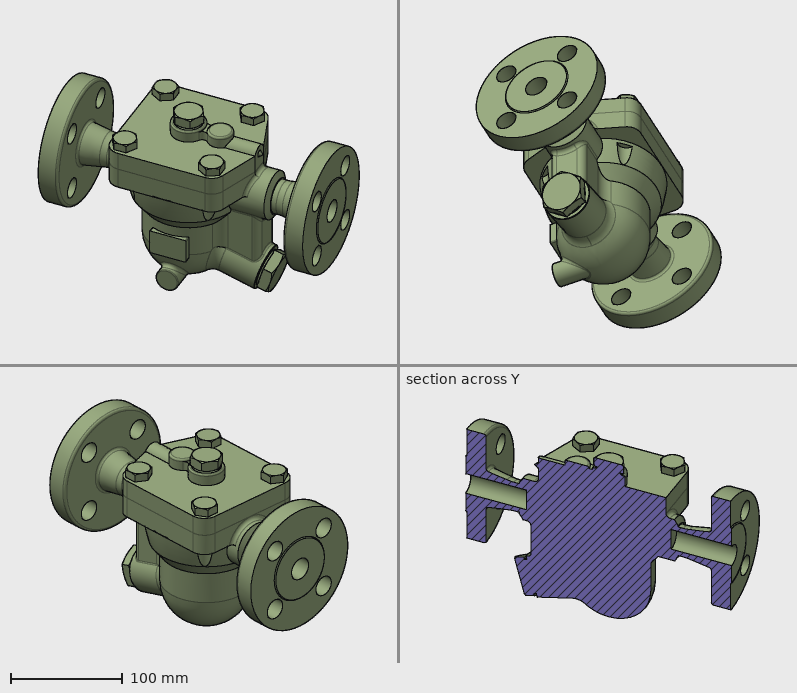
import cadquery as cq
import math


PICK_MARGIN = 0.2

FACE_TO_FACE = 264.0
FLANGE_DIA = 120.0
FLANGE_THICKNESS = 20.6
FLANGE_EDGE_FILLET = 2.5
RAISED_FACE_DIA = 60.0
RAISED_FACE_BASE_DIA = 62.0
RAISED_FACE_HEIGHT = 1.0
BOLT_CIRCLE_DIA = 85.0
FLANGE_HOLE_DIA = 19.0
FLANGE_HOLE_COUNT = 4
FIRST_HOLE_ANGLE = 45.0
BORE_DIA = 21.0
BORE_DEPTH = 60.0
NECK_DIA = 32.0
NECK_BEND_START = 84.0
NECK_TAPER_START = 90.5
NECK_TAPER_DIA = 33.4
HUB_DIA = 40.4
HUB_FILLET = 2.5
BOSS_DIA = 46.0
BOSS_END = 75.2
BOSS_CHAMFER = 3.7
BOSS_CHAMFER_END_DIA = 34.6
BOSS_ROOT_FILLET = 3.8

BODY_X = -10.0
BODY_RADIUS = 42.0
DOME_Z = -62.0
SHOULDER_BOTTOM_Z = -32.0
SHOULDER_TOP_Z = -19.0
SHOULDER_RADIUS = 52.0
RIM_RADIUS = 57.0
RIM_MID_RADIUS = 55.0
NUT_RELIEF_DIA = 17.4
NUT_RELIEF_TOP_Z = 3.3

PLATE_BOTTOM_Z = 7.0
JOINT_Z = 27.0
COVER_TOP_Z = 44.5
PLATE_LEFT_X = -67.0
PLATE_NOSE_X = 60.0
PLATE_NOSE_HALF_WIDTH = 9.0
PLATE_TAPER_X = 43.0
PLATE_HALF_WIDTH = 57.3
PLATE_CORNER_RADIUS = 14.0

HEX_BEVEL_ANGLE = 30.0

BOLT_X_LEFT = -53.0
BOLT_X_RIGHT = 33.0
BOLT_Y = 43.0
BOLT_ACROSS_FLATS = 21.0
BOLT_HEAD_HEIGHT = 8.0
BOLT_TURN = 30.0
PLUG_BOSS_DIA = 33.0
ROUND_BOSS_HEIGHT = 11.2
PLUG_BOSS_FILLET = 1.5
PLUG_COLLAR_HEIGHT = 1.5
PLUG_COLLAR_DIA = 22.0
PLUG_COLLAR_BASE_DIA = 27.0
PLUG_ACROSS_FLATS = 26.0
PLUG_HEAD_HEIGHT = 10.0

PASSAGE_BOSS_X = 21.5
PASSAGE_BOSS_DIA = 24.0
PASSAGE_BOSS_FILLET = 2.0
WEB_HEIGHT = 9.0
WEB_FILLET = 5.0
RIB_DIA = 20.0
RIB_TOP_Z = 50.0
RIB_SINK = 1.0
TIP_RADIUS = 3.2
TIP_LENGTH = 3.8
TIP_Z = 41.4

RISER_END_X = 67.5
RISER_HALF_WIDTH = 17.0
RISER_CORNER_FILLET = 7.0
ROOT_FILLET = 15.0
RISER_FOOT_FILLET = 2.0
RISER_HEAD_FILLET = 4.0
RISER_SINK = 10.0
STRAINER_TILT = 15.0
STRAINER_DIA = 44.0
STRAINER_LENGTH = 79.5
STRAINER_EDGE = 0.5
STRAINER_ROOT_SINK = 0.05
STRAINER_COLLAR_DIA = 36.0
STRAINER_COLLAR_LENGTH = 2.0
STRAINER_HEX_ACROSS_FLATS = 37.0
STRAINER_HEX_LENGTH = 10.5
STRAINER_HEX_TURN = -5.0
DRAIN_Z = -90.7
DRAIN_DIA = 22.0
DRAIN_END_Y = -46.0
DRAIN_EDGE_FILLET = 0.8
DRAIN_ROOT_FILLET = 3.0
PAD_WIDTH = 36.0
PAD_HEIGHT = 24.0
PAD_Z = -54.3
PAD_FACE_Y = -44.3
PAD_CORNER_RADIUS = 1.0


def edges_within(shape, low, high):
    """Edges lying wholly inside the box between two opposite corners."""
    return shape.edges(cq.selectors.BoxSelector(low, high, boundingbox=True))


def hex_head(across_flats, height, turn=0.0, bevel_underside=False):
    """Hexagon standing on XY with a corner on +X, its corners bevelled down to the flats."""
    flat_radius = across_flats / 2
    corner_radius = flat_radius / math.cos(math.pi / 6)
    bevel_rise = (corner_radius - flat_radius) * math.tan(math.radians(HEX_BEVEL_ANGLE))
    head = cq.Workplane("XY").polygon(6, 2 * corner_radius).extrude(height)
    envelope = cq.Workplane("XZ").moveTo(0, 0)
    if bevel_underside:
        envelope = envelope.lineTo(flat_radius, 0).lineTo(corner_radius, bevel_rise)
    else:
        envelope = envelope.lineTo(corner_radius, 0)
    envelope = (
        envelope.lineTo(corner_radius, height - bevel_rise)
        .lineTo(flat_radius, height)
        .lineTo(0, height)
        .close()
        .revolve(360, (0, 0, 0), (0, 1, 0))
    )
    return head.intersect(envelope).rotate((0, 0, 0), (0, 0, 1), turn)


def plate(bottom, top):
    outline = [
        (PLATE_LEFT_X, -PLATE_HALF_WIDTH),
        (PLATE_TAPER_X, -PLATE_HALF_WIDTH),
        (PLATE_NOSE_X, -PLATE_NOSE_HALF_WIDTH),
        (PLATE_NOSE_X, PLATE_NOSE_HALF_WIDTH),
        (PLATE_TAPER_X, PLATE_HALF_WIDTH),
        (PLATE_LEFT_X, PLATE_HALF_WIDTH),
    ]
    slab = cq.Workplane("XY").workplane(offset=bottom).polyline(outline).close().extrude(top - bottom)
    corners = slab.edges("|Z").edges("<Y or >Y or <X")
    return corners.fillet(PLATE_CORNER_RADIUS)


def bolt_places():
    return [(x, y) for x in (BOLT_X_LEFT, BOLT_X_RIGHT) for y in (-BOLT_Y, BOLT_Y)]


def vessel():
    """Rim, shoulder, cylinder and dome revolved about the vertical axis, relieved at the bolts."""
    rim_mid_z = (PLATE_BOTTOM_Z + SHOULDER_TOP_Z) / 2
    dome_45 = BODY_RADIUS * math.sqrt(0.5)
    profile = (
        cq.Workplane("XZ")
        .moveTo(0, PLATE_BOTTOM_Z)
        .lineTo(RIM_RADIUS, PLATE_BOTTOM_Z)
        .threePointArc((RIM_MID_RADIUS, rim_mid_z), (SHOULDER_RADIUS, SHOULDER_TOP_Z))
        .lineTo(BODY_RADIUS, SHOULDER_BOTTOM_Z)
        .lineTo(BODY_RADIUS, DOME_Z)
        .threePointArc((dome_45, DOME_Z - dome_45), (0, DOME_Z - BODY_RADIUS))
        .close()
    )
    body = profile.revolve(360, (0, 0, 0), (0, 1, 0)).translate((BODY_X, 0, 0))
    reliefs = (
        cq.Workplane("XY", origin=(0, 0, SHOULDER_BOTTOM_Z))
        .pushPoints(bolt_places())
        .circle(NUT_RELIEF_DIA / 2)
        .extrude(NUT_RELIEF_TOP_Z - SHOULDER_BOTTOM_Z)
    )
    return body.cut(reliefs)


def along_strainer(shape):
    """Move a shape built along +Z from the origin onto the sloping strainer axis."""
    tilted = shape.rotate((0, 0, 0), (0, 1, 0), 90 + STRAINER_TILT)
    return tilted.translate((BODY_X, 0, DOME_Z))


def strainer():
    barrel = cq.Workplane("XY").circle(STRAINER_DIA / 2).extrude(STRAINER_LENGTH)
    return along_strainer(barrel.faces(">Z").edges().chamfer(STRAINER_EDGE))


def strainer_root():
    """Concave flare that blends the strainer barrel into the dome."""
    barrel_radius = STRAINER_DIA / 2
    dome_radius = BODY_RADIUS - STRAINER_ROOT_SINK
    centre_r = barrel_radius + ROOT_FILLET
    reach = dome_radius + ROOT_FILLET
    centre_t = math.sqrt(reach ** 2 - centre_r ** 2)
    on_dome = (centre_r * dome_radius / reach, centre_t * dome_radius / reach)
    middle_angle = (math.atan2(-centre_t, -centre_r) - math.pi) / 2
    middle = (
        centre_r + ROOT_FILLET * math.cos(middle_angle),
        centre_t + ROOT_FILLET * math.sin(middle_angle),
    )
    flare = (
        cq.Workplane("XZ")
        .lineTo(*on_dome)
        .threePointArc(middle, (barrel_radius, centre_t))
        .lineTo(0, centre_t)
        .close()
        .revolve(360, (0, 0, 0), (0, 1, 0))
    )
    return along_strainer(flare)


def strainer_cap():
    collar_end = STRAINER_LENGTH + STRAINER_COLLAR_LENGTH
    collar = cq.Workplane("XY").circle(STRAINER_COLLAR_DIA / 2).extrude(collar_end)
    head = hex_head(STRAINER_HEX_ACROSS_FLATS, STRAINER_HEX_LENGTH, STRAINER_HEX_TURN)
    return along_strainer(collar.union(head.translate((0, 0, collar_end))))


def trim_under_riser(shape):
    """Cut along a plane inside the barrel, parallel to its axis."""
    size = 4 * BODY_RADIUS
    below = cq.Workplane("XY").box(2 * size, 2 * size, size, centered=(True, True, False))
    below = below.translate((0, 0, RISER_SINK - size)).rotate((0, 0, 0), (0, 1, 0), STRAINER_TILT)
    return shape.cut(below.translate((BODY_X, 0, DOME_Z)))


def riser_block():
    """Upright block joining the strainer barrel to the outlet boss."""
    block = cq.Workplane("XY").box(
        RISER_END_X - BODY_X, 2 * RISER_HALF_WIDTH, BODY_RADIUS - DOME_Z, centered=(False, True, False)
    )
    block = block.edges("|Z and >X").fillet(RISER_CORNER_FILLET)
    return trim_under_riser(block.translate((BODY_X, 0, DOME_Z - BODY_RADIUS)))


def riser_root():
    """Concave flares from the riser sides onto the vessel cylinder."""
    reach = BODY_RADIUS + ROOT_FILLET
    centre_y = RISER_HALF_WIDTH + ROOT_FILLET
    centre_x = math.sqrt(reach ** 2 - centre_y ** 2)
    touch_x = centre_x * BODY_RADIUS / reach
    touch_y = centre_y * BODY_RADIUS / reach
    middle_angle = (math.atan2(-centre_y, -centre_x) - math.pi / 2) / 2
    middle_x = centre_x + ROOT_FILLET * math.cos(middle_angle)
    middle_y = centre_y + ROOT_FILLET * math.sin(middle_angle)
    prism = (
        cq.Workplane("XY")
        .lineTo(touch_x, touch_y)
        .threePointArc((middle_x, middle_y), (centre_x, RISER_HALF_WIDTH))
        .lineTo(centre_x, -RISER_HALF_WIDTH)
        .threePointArc((middle_x, -middle_y), (touch_x, -touch_y))
        .close()
        .extrude(SHOULDER_TOP_Z - DOME_Z + BODY_RADIUS)
    )
    return trim_under_riser(prism.translate((BODY_X, 0, DOME_Z - BODY_RADIUS)))


def pipe_bosses():
    return cq.Workplane("YZ").circle(BOSS_DIA / 2).extrude(BOSS_END, both=True)


def pipe_end():
    """Boss chamfer, neck, hub and flange on the +X side."""
    face_x = FACE_TO_FACE / 2
    seat_x = face_x - RAISED_FACE_HEIGHT
    back_x = face_x - FLANGE_THICKNESS
    disc = cq.Workplane("YZ", origin=(back_x, 0, 0)).circle(FLANGE_DIA / 2).extrude(seat_x - back_x)
    disc = disc.faces("<X").edges().fillet(FLANGE_EDGE_FILLET)
    spindle = (
        cq.Workplane("XY")
        .moveTo(BOSS_END, 0)
        .lineTo(BOSS_END, BOSS_DIA / 2)
        .lineTo(BOSS_END + BOSS_CHAMFER, BOSS_CHAMFER_END_DIA / 2)
        .lineTo(BOSS_END + BOSS_CHAMFER, NECK_DIA / 2)
        .lineTo(NECK_BEND_START, NECK_DIA / 2)
        .tangentArcPoint((NECK_TAPER_START, NECK_TAPER_DIA / 2), relative=False)
        .lineTo(back_x, HUB_DIA / 2)
        .lineTo(seat_x, HUB_DIA / 2)
        .lineTo(seat_x, RAISED_FACE_BASE_DIA / 2)
        .lineTo(face_x, RAISED_FACE_DIA / 2)
        .lineTo(face_x, 0)
        .close()
        .revolve(360, (0, 0, 0), (1, 0, 0))
    )
    end = disc.union(spindle)
    root_low = (back_x - PICK_MARGIN, -HUB_DIA, -HUB_DIA)
    root_high = (back_x + PICK_MARGIN, HUB_DIA, HUB_DIA)
    root = edges_within(end, root_low, root_high)
    end = root.edges(cq.selectors.RadiusNthSelector(0)).fillet(HUB_FILLET)
    holes = (
        cq.Workplane("YZ", origin=(back_x, 0, 0))
        .polarArray(BOLT_CIRCLE_DIA / 2, FIRST_HOLE_ANGLE, 360, FLANGE_HOLE_COUNT)
        .circle(FLANGE_HOLE_DIA / 2)
        .extrude(FLANGE_THICKNESS)
    )
    return end.cut(holes)


def bores():
    face_x = FACE_TO_FACE / 2
    bore = cq.Workplane("YZ", origin=(face_x - BORE_DEPTH, 0, 0)).circle(BORE_DIA / 2).extrude(BORE_DEPTH)
    return bore.union(bore.mirror("YZ"))


def drain():
    stub = cq.Workplane("XZ").circle(DRAIN_DIA / 2).extrude(-DRAIN_END_Y)
    stub = stub.faces("<Y").edges().fillet(DRAIN_EDGE_FILLET)
    return stub.translate((BODY_X, 0, DRAIN_Z))


def name_pad():
    pad = cq.Workplane("XZ").rect(PAD_WIDTH, PAD_HEIGHT).extrude(-PAD_FACE_Y)
    return pad.edges("|Y").fillet(PAD_CORNER_RADIUS).translate((BODY_X, 0, PAD_Z))


def cover_bolts():
    """Hexagon heads on the corners; those on one diagonal are turned."""
    heads = cq.Workplane("XY")
    for x, y in bolt_places():
        turn = BOLT_TURN if x * y < 0 else 0
        head = hex_head(BOLT_ACROSS_FLATS, BOLT_HEAD_HEIGHT, turn)
        heads = heads.add(head.translate((x, y, COVER_TOP_Z)))
    return heads.combine()


def plug_boss():
    boss = cq.Workplane("XY").circle(PLUG_BOSS_DIA / 2).extrude(ROUND_BOSS_HEIGHT)
    boss = boss.faces(">Z").edges().fillet(PLUG_BOSS_FILLET)
    collar = (
        cq.Workplane("XY").workplane(offset=ROUND_BOSS_HEIGHT).circle(PLUG_COLLAR_BASE_DIA / 2)
        .workplane(offset=PLUG_COLLAR_HEIGHT).circle(PLUG_COLLAR_DIA / 2)
        .loft()
    )
    head = hex_head(PLUG_ACROSS_FLATS, PLUG_HEAD_HEIGHT, bevel_underside=True)
    head = head.translate((0, 0, ROUND_BOSS_HEIGHT + PLUG_COLLAR_HEIGHT))
    return boss.union(collar).union(head).translate((BODY_X, 0, COVER_TOP_Z))


def passage_boss():
    boss = cq.Workplane("XY").circle(PASSAGE_BOSS_DIA / 2).extrude(ROUND_BOSS_HEIGHT)
    boss = boss.faces(">Z").edges().fillet(PASSAGE_BOSS_FILLET)
    return boss.translate((PASSAGE_BOSS_X, 0, COVER_TOP_Z))


def web():
    """Neck between the two round bosses, its sides concave arcs tangent to both."""
    span = PASSAGE_BOSS_X - BODY_X
    plug_reach = PLUG_BOSS_DIA / 2 + WEB_FILLET
    passage_reach = PASSAGE_BOSS_DIA / 2 + WEB_FILLET
    arc_x = (span ** 2 + plug_reach ** 2 - passage_reach ** 2) / (2 * span)
    arc_y = math.sqrt(plug_reach ** 2 - arc_x ** 2)
    plug_share = PLUG_BOSS_DIA / 2 / plug_reach
    passage_share = PASSAGE_BOSS_DIA / 2 / passage_reach
    start_x = arc_x * plug_share
    start_y = arc_y * plug_share
    end_x = span + (arc_x - span) * passage_share
    end_y = arc_y * passage_share
    waist_y = arc_y - WEB_FILLET
    outline = (
        cq.Workplane("XY")
        .lineTo(start_x, start_y)
        .threePointArc((arc_x, waist_y), (end_x, end_y))
        .lineTo(span, 0)
        .lineTo(end_x, -end_y)
        .threePointArc((arc_x, -waist_y), (start_x, -start_y))
        .close()
    )
    return outline.extrude(WEB_HEIGHT).translate((BODY_X, 0, COVER_TOP_Z))


def rib():
    """Round-backed rib from the passage boss to the nose, with a small pointed tip."""
    length = PLATE_NOSE_X - PASSAGE_BOSS_X
    rib_z = RIB_TOP_Z - RIB_DIA / 2
    bar = cq.Workplane("YZ", origin=(PASSAGE_BOSS_X, 0, rib_z)).circle(RIB_DIA / 2).extrude(length)
    above = cq.Workplane("XY", origin=(PLATE_NOSE_X - length / 2, 0, COVER_TOP_Z - RIB_SINK))
    above = above.box(length, RIB_DIA, RIB_DIA, centered=(True, True, False))
    tip = cq.Workplane(cq.Solid.makeCone(TIP_RADIUS, 0, TIP_LENGTH, (PLATE_NOSE_X, 0, TIP_Z), (1, 0, 0)))
    return bar.intersect(above).union(tip)


def plate_with_bosses():
    """Body plate with the inlet and outlet bosses filleted into its end faces."""
    body = plate(PLATE_BOTTOM_Z, JOINT_Z).union(pipe_bosses())
    low_z = PLATE_BOTTOM_Z - PICK_MARGIN
    inlet_low = (PLATE_LEFT_X - PICK_MARGIN, -BOSS_DIA / 2, low_z)
    inlet_high = (PLATE_LEFT_X + PICK_MARGIN, BOSS_DIA / 2, BOSS_DIA / 2 + PICK_MARGIN)
    body = edges_within(body, inlet_low, inlet_high).fillet(BOSS_ROOT_FILLET)
    outlet_low = (PLATE_TAPER_X, -BOSS_DIA / 2, low_z)
    outlet_high = (PLATE_NOSE_X + PICK_MARGIN, BOSS_DIA / 2, BOSS_DIA / 2 + PICK_MARGIN)
    return edges_within(body, outlet_low, outlet_high).fillet(BOSS_ROOT_FILLET)


def plate_with_riser():
    """Plate, bosses, riser and strainer barrel, filleted at the riser's head and foot."""
    body = plate_with_bosses().union(riser_block())
    side = RISER_HALF_WIDTH + PICK_MARGIN
    far_x = RISER_END_X + PICK_MARGIN
    head_low = (BODY_X - PICK_MARGIN, -side, -BOSS_DIA / 2 - PICK_MARGIN)
    body = edges_within(body, head_low, (far_x, side, 0)).fillet(RISER_HEAD_FILLET)
    body = body.union(riser_root()).union(strainer())
    foot_low = (BODY_X + BODY_RADIUS, -side, DOME_Z - RISER_SINK)
    foot_high = (far_x, side, DOME_Z + RISER_SINK)
    return edges_within(body, foot_low, foot_high).fillet(RISER_FOOT_FILLET)


def vessel_with_drain():
    """Vessel with the drain stub blended into the dome."""
    body = vessel().union(drain())
    drain_low = (BODY_X - DRAIN_DIA, -BODY_RADIUS, DOME_Z - BODY_RADIUS)
    drain_high = (BODY_X + DRAIN_DIA, 0, DRAIN_Z + DRAIN_DIA)
    return edges_within(body, drain_low, drain_high).fillet(DRAIN_ROOT_FILLET)


def build():
    end = pipe_end()
    castings = [
        vessel_with_drain(), strainer_root(), strainer_cap(), name_pad(), end, end.mirror("YZ"),
    ]
    cover_parts = [plug_boss(), passage_boss(), web(), rib(), cover_bolts()]
    body = plate_with_riser()
    for part in castings:
        body = body.union(part)
    body = body.cut(bores())
    cover = plate(JOINT_Z, COVER_TOP_Z)
    for part in cover_parts:
        cover = cover.union(part)
    return body.union(cover, clean=False)


result = build()